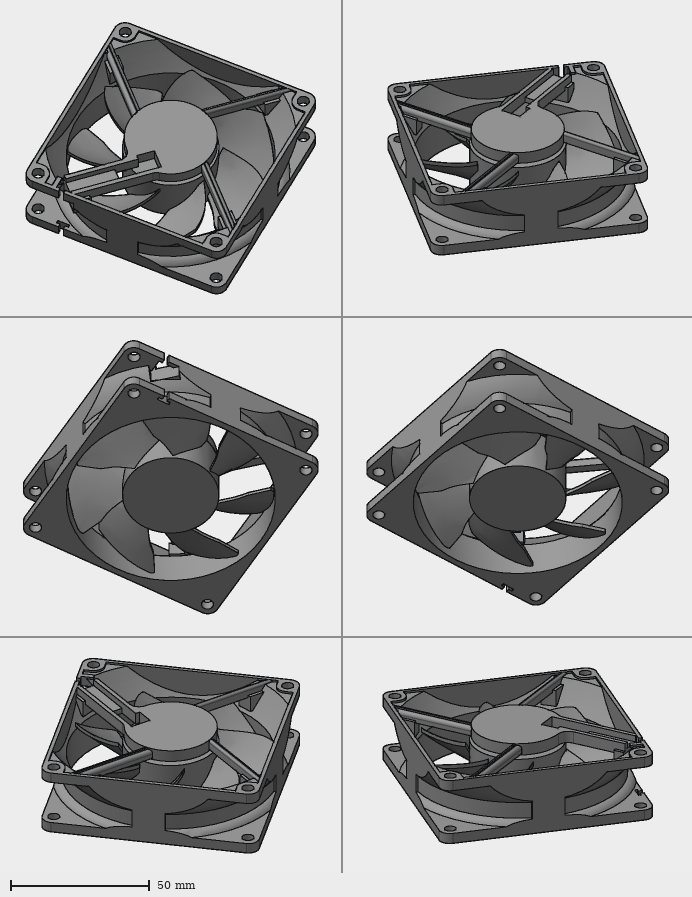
import cadquery as cq
import math

SIDE = 80.0
DEPTH = 25.0
HALF = SIDE / 2
FLANGE_THICKNESS = 4.0
FLANGE_TOP_Z = DEPTH - FLANGE_THICKNESS
CORNER_RADIUS = 4.0
HOLE_SPACING = 71.5
HOLE_DIAMETER = 4.3

LIP_WIDTH = 1.5
INNER_HALF = HALF - LIP_WIDTH
RECESS_DEPTH = 0.8
RECESS_Z = DEPTH - RECESS_DEPTH
PAD_RADIUS = 4.1
PAD_INNER_EDGE = HOLE_SPACING / 2 - PAD_RADIUS

BORE_RADIUS = 37.7
BAND_RADIUS = 39.7
BAND_BOTTOM_Z = 6.0
BAND_TOP_Z = 12.2
FOOT_MID = (41.7, 5.3)
FOOT_RADIUS = 43.0
FLARE_MID = (43.25, 16.5)
FLARE_RADIUS = 45.6
INLET_START_Z = 14.0
INLET_MID = (41.3, 18.5)
INLET_RADIUS = 45.4
PILLAR_WIDTH = 12.3

PLATE_RADIUS = 16.8
PLATE_THICKNESS = 4.5
PLATE_BOTTOM_Z = DEPTH - PLATE_THICKNESS
NECK_FILLET = 4.0

PLAIN_ARM_ANGLES = (-45.0, 45.0, 135.0)
CABLE_ARM_ANGLE = 225.0
ARM_START = 14.0
ARM_REACH = 60.0
ARM_INNER_OFFSET = 6.3
ARM_STEP_OFFSET = 7.6
ARM_OUTER_OFFSET = 9.4
ARM_BOTTOM_Z = 21.1
ARM_STEP_HEIGHT = 0.6
ARM_CREST_ROUNDING = 0.9
ARM_SHOULDER_ROUNDING = 1.5
GUSSET_OVERHANG = 1.2
GUSSET_BOTTOM_Z = 15.7
GUSSET_TOP_Z = 22.0
GUSSET_INNER_RADIUS = 38.1

CHANNEL_INNER_OFFSET = 4.0
CHANNEL_OUTER_OFFSET = 13.4
CHANNEL_WALL = 1.7
CHANNEL_END_REACH = 42.0
CHANNEL_FLOOR_Z = 22.6
CHANNEL_FLOOR_REACH = 23.2
POCKET_REACH = 7.6
POCKET_STEP_REACH = 14.3

EXIT_RIB_LEFT_X = -28.9
EXIT_LEFT_X = -27.0
EXIT_RIGHT_X = -22.3
EXIT_BAR_DEPTH = 1.0
EXIT_RIB_TOP_Y = -34.0
SLIT_LEFT_X = -25.6
SLIT_RIGHT_X = -23.6

HUB_RADIUS = 17.4
HUB_BOTTOM_Z = 2.0
HUB_TOP_Z = 19.1
BLADE_COUNT = 7
BLADE_TIP_RADIUS = 37.3
BLADE_TIP_LOW_ANGLE = 170.0
BLADE_TIP_HIGH_ANGLE = 207.0
BLADE_TIP_ROUNDING = 3.0
BLADE_LOW_Z = 4.5
BLADE_HIGH_Z = 18.3
BLADE_THICKNESS = 1.6
BLADE_CAMBER = 2.0
BLADE_AXIS_ANGLE = 200.0
BLADE_OVERRUN = 0.05
BLADE_STATIONS = (
    (12.0, 0.8, 9.2),
    (24.7, -9.7, 9.6),
    (38.0, -20.5, 4.5),
)
BLADE_LOW_EDGE = ((-12.0, -5.5), (-17.4, -3.3), (-24.0, -0.6), (-32.2, 4.8))
BLADE_HIGH_EDGE = ((-27.5, -18.2), (-20.0, -17.6), (-11.5, -15.0))


def block(x0, x1, y0, y1, z0, z1):
    """A box given by its limits along the three axes."""
    return cq.Workplane("XY").box(x1 - x0, y1 - y0, z1 - z0, centered=False).translate((x0, y0, z0))


def cylinder(radius, z0, z1):
    return cq.Workplane("XY").workplane(offset=z0).circle(radius).extrude(z1 - z0)


def square_block(half, z0, z1):
    return block(-half, half, -half, half, z0, z1)


def turned(shape, angle):
    """The shape turned about the fan axis."""
    return shape.rotate((0, 0, 0), (0, 0, 1), angle)


def flange(z0):
    plate = square_block(HALF, z0, z0 + FLANGE_THICKNESS)
    return plate.edges("|Z").fillet(CORNER_RADIUS)


def duct_outside():
    """Solid of the duct's outer surface, trimmed to the sides of the square frame."""
    return (
        cq.Workplane("XZ")
        .moveTo(0, FLANGE_THICKNESS)
        .lineTo(FOOT_RADIUS, FLANGE_THICKNESS)
        .threePointArc(FOOT_MID, (BAND_RADIUS, BAND_BOTTOM_Z))
        .lineTo(BAND_RADIUS, BAND_TOP_Z)
        .threePointArc(FLARE_MID, (FLARE_RADIUS, FLANGE_TOP_Z))
        .lineTo(0, FLANGE_TOP_Z)
        .close()
        .revolve(360, (0, 0, 0), (0, 1, 0))
        .intersect(square_block(HALF, 0, DEPTH))
    )


def duct_inside():
    """Air passage: a plain bore that flares out and is limited by the square lip."""
    passage = (
        cq.Workplane("XZ")
        .lineTo(BORE_RADIUS, 0)
        .lineTo(BORE_RADIUS, INLET_START_Z)
        .threePointArc(INLET_MID, (INLET_RADIUS, RECESS_Z))
        .lineTo(0, RECESS_Z)
        .close()
        .revolve(360, (0, 0, 0), (0, 1, 0))
    )
    return passage.intersect(square_block(INNER_HALF, 0, DEPTH))


def rim_recess():
    recess = square_block(INNER_HALF, RECESS_Z, DEPTH)
    for angle in range(0, 360, 90):
        pad = block(PAD_INNER_EDGE, HALF, PAD_INNER_EDGE, HALF, RECESS_Z, DEPTH)
        pad = pad.edges("|Z and <X and <Y").fillet(PAD_RADIUS)
        recess = recess.cut(turned(pad, angle))
    return recess


def pillars():
    """Flat strips that link the flanges at the middle of each side."""
    wide = PILLAR_WIDTH / 2
    strip = block(BAND_RADIUS - LIP_WIDTH, HALF, -wide, wide, FLANGE_THICKNESS, FLANGE_TOP_Z)
    both = strip.union(turned(strip, 90))
    return both.union(turned(both, 180))


def screw_holes():
    return (
        cq.Workplane("XY")
        .rect(HOLE_SPACING, HOLE_SPACING, forConstruction=True)
        .vertices()
        .circle(HOLE_DIAMETER / 2)
        .extrude(DEPTH)
    )


def plain_arm():
    """Arm along +X: a crest on the inner side and a lower rounded shoulder on the outer side."""
    arm = block(ARM_START, ARM_REACH, ARM_INNER_OFFSET, ARM_OUTER_OFFSET, ARM_BOTTOM_Z, DEPTH)
    arm = arm.edges("|X and >Z and <Y").fillet(ARM_CREST_ROUNDING)
    shoulder_z = DEPTH - ARM_STEP_HEIGHT
    arm = arm.cut(block(ARM_START, ARM_REACH, ARM_STEP_OFFSET, ARM_OUTER_OFFSET, shoulder_z, DEPTH))
    return arm.edges("|X and >Y").edges(">Z").fillet(ARM_SHOULDER_ROUNDING)


def gusset(inner_offset, outer_offset, reach):
    """Thickening along +X where an arm meets the flare, wider than the arm on both sides."""
    body = block(
        0, reach,
        inner_offset - GUSSET_OVERHANG, outer_offset + GUSSET_OVERHANG,
        GUSSET_BOTTOM_Z, GUSSET_TOP_Z,
    )
    return body.cut(cylinder(GUSSET_INNER_RADIUS, 0, DEPTH))


def motor_plate():
    """Round plate joined by filleted necks to the solid cable arm, which runs along +X."""
    arm = block(
        0, CHANNEL_END_REACH, CHANNEL_INNER_OFFSET, CHANNEL_OUTER_OFFSET, PLATE_BOTTOM_Z, DEPTH
    )
    plate = cylinder(PLATE_RADIUS, PLATE_BOTTOM_Z, DEPTH).union(arm)
    for offset in (CHANNEL_INNER_OFFSET, CHANNEL_OUTER_OFFSET):
        neck = (math.sqrt(PLATE_RADIUS**2 - offset**2), offset, (PLATE_BOTTOM_Z + DEPTH) / 2)
        plate = plate.edges(cq.selectors.NearestToPointSelector(neck)).fillet(NECK_FILLET)
    return plate


def channel_cut():
    """Cable trough along +X, open below near the motor and floored further out."""
    inner = CHANNEL_INNER_OFFSET + CHANNEL_WALL
    outer = CHANNEL_OUTER_OFFSET - CHANNEL_WALL
    window = block(POCKET_REACH, CHANNEL_FLOOR_REACH, inner, outer, PLATE_BOTTOM_Z, DEPTH)
    trough = block(POCKET_REACH, CHANNEL_END_REACH, inner, outer, CHANNEL_FLOOR_Z, DEPTH)
    pocket = block(
        POCKET_REACH, POCKET_STEP_REACH, CHANNEL_INNER_OFFSET, inner, PLATE_BOTTOM_Z, DEPTH
    )
    return window.union(trough).union(pocket)


def cable_exit():
    """Opening past the end of the channel, and the T-shaped slot through both flanges."""
    beyond_end = block(
        CHANNEL_END_REACH, ARM_REACH, 0, CHANNEL_OUTER_OFFSET, GUSSET_BOTTOM_Z, DEPTH
    )
    room = block(EXIT_LEFT_X, 0, -INNER_HALF, 0, GUSSET_BOTTOM_Z, DEPTH)
    opening = turned(beyond_end, CABLE_ARM_ANGLE).intersect(room)
    bar = block(EXIT_LEFT_X, EXIT_RIGHT_X, -INNER_HALF, -INNER_HALF + EXIT_BAR_DEPTH, 0, DEPTH)
    slit = block(SLIT_LEFT_X, SLIT_RIGHT_X, -HALF, -INNER_HALF, 0, DEPTH)
    below_flange = block(
        CHANNEL_END_REACH, ARM_REACH, CHANNEL_INNER_OFFSET, ARM_REACH, GUSSET_BOTTOM_Z, FLANGE_TOP_Z
    )
    return opening.union(bar).union(slit).union(turned(below_flange, CABLE_ARM_ANGLE))


def make_frame():
    duct = duct_outside().union(pillars())
    envelope = flange(0).union(duct).union(flange(FLANGE_TOP_Z))
    frame = envelope.cut(duct_inside()).cut(rim_recess()).cut(screw_holes())

    inside = square_block((INNER_HALF + HALF) / 2, 0, DEPTH)
    for angle in PLAIN_ARM_ANGLES:
        frame = frame.union(turned(plain_arm(), angle).intersect(inside))
        support = gusset(ARM_INNER_OFFSET, ARM_OUTER_OFFSET, ARM_REACH)
        frame = frame.union(turned(support, angle).intersect(envelope))

    in_square = square_block(HALF, 0, DEPTH)
    channel_support = gusset(CHANNEL_INNER_OFFSET, CHANNEL_OUTER_OFFSET, CHANNEL_END_REACH)
    for part in (motor_plate(), channel_support):
        frame = frame.union(turned(part, CABLE_ARM_ANGLE).intersect(in_square))
    exit_rib = block(EXIT_RIB_LEFT_X, EXIT_LEFT_X, -INNER_HALF, EXIT_RIB_TOP_Y, RECESS_Z, DEPTH)
    frame = frame.union(exit_rib)
    return frame.cut(turned(channel_cut(), CABLE_ARM_ANGLE)).cut(cable_exit())


def blade_section(distance, low, high):
    """Cambered strip across the blade axis (+X), shallow at its low edge and steep at its high edge."""
    run = BLADE_OVERRUN * (high - low)
    rise = BLADE_OVERRUN * (BLADE_HIGH_Z - BLADE_LOW_Z)
    start = cq.Vector(distance, low - run, BLADE_LOW_Z - rise)
    end = cq.Vector(distance, high + run, BLADE_HIGH_Z + rise)
    middle = (start + end) / 2 - cq.Vector(0, 0, BLADE_CAMBER)
    drop = cq.Vector(0, 0, -BLADE_THICKNESS)
    return cq.Wire.assembleEdges([
        cq.Edge.makeThreePointArc(start, middle, end),
        cq.Edge.makeLine(end, end + drop),
        cq.Edge.makeThreePointArc(end + drop, middle + drop, start + drop),
        cq.Edge.makeLine(start + drop, start),
    ])


def blade_sheet():
    """Twisted sheet lofted along +X through the chord stations."""
    sections = [blade_section(*station) for station in BLADE_STATIONS]
    return cq.Workplane(cq.Solid.makeLoft(sections))


def tip_point(angle):
    turn = math.radians(angle)
    return (BLADE_TIP_RADIUS * math.cos(turn), BLADE_TIP_RADIUS * math.sin(turn))


def blade_plan():
    """Upright prism with the outline of one blade seen along the fan axis."""
    tip_low = tip_point(BLADE_TIP_LOW_ANGLE)
    tip_middle = tip_point((BLADE_TIP_LOW_ANGLE + BLADE_TIP_HIGH_ANGLE) / 2)
    tip_high = tip_point(BLADE_TIP_HIGH_ANGLE)
    prism = (
        cq.Workplane("XY")
        .moveTo(*BLADE_LOW_EDGE[0])
        .spline([*BLADE_LOW_EDGE[1:], tip_low], includeCurrent=True)
        .threePointArc(tip_middle, tip_high)
        .spline(BLADE_HIGH_EDGE, includeCurrent=True)
        .close()
        .extrude(HUB_TOP_Z)
    )
    low_corner = cq.selectors.NearestToPointSelector((*tip_low, HUB_TOP_Z / 2))
    return prism.edges(low_corner).fillet(BLADE_TIP_ROUNDING)


def make_impeller():
    blade = turned(blade_sheet(), BLADE_AXIS_ANGLE).intersect(blade_plan())
    impeller = cylinder(HUB_RADIUS, HUB_BOTTOM_Z, HUB_TOP_Z)
    for index in range(BLADE_COUNT):
        impeller = impeller.union(turned(blade, index * 360 / BLADE_COUNT))
    return impeller


frame = make_frame()
impeller = make_impeller()

result = cq.Compound.makeCompound([frame.solids().val(), impeller.solids().val()])